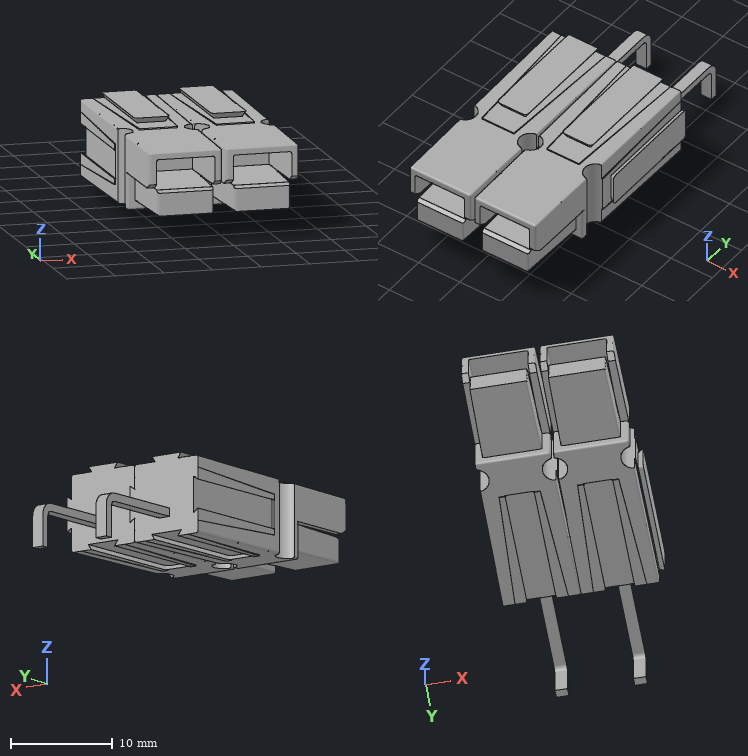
import cadquery as cq
import math


pitch = 7.9
front_width = 7.47
housing_length = 24.6
edge_radius = 0.25
rear_half = pitch / 2
draft_per_length = (pitch - front_width) / 2 / housing_length

mating_depth = 7.93
cavity_half = 3.0
cavity_draft = 0.1
cavity_corner_radius = 0.25
hood_chamfer_length = 0.85
hood_chamfer_height = 0.5
tongue_root_half = 3.0
tongue_tip_half = 2.85
tongue_root_depth = 2.9
tongue_tip_depth = 2.75
tongue_tip_top = -0.17
tongue_chamfer_length = 0.45
tongue_chamfer_height = 0.25
tongue_edge_radius = 0.2

notch_radius = 1.25
notch_y = 9.9

pad_rear_half = 2.7
pad_taper = 0.05
short_pad_front = 12.1
rail_front = 12.22
rail_height = 0.55
rail_half = 1.8
rail_base_half = 1.45
rail_corner_radius = 0.42
rail_undercut = rail_half - rail_base_half
rail_flank_angle = math.degrees(math.atan(rail_undercut / rail_height))

pin_width = 1.3
pin_thickness = 0.85
pin_offset = 0.25
pin_top = -1.0
pin_rear = 34.92
pin_bend_radius = 1.4
pin_drop = 1.65

TOP, RIGHT, BOTTOM, LEFT = 0, 90, 180, 270


def turned(shape, side):
    return shape.rotate((0, 0, 0), (0, 1, 0), side)


def box(x_range, y_range, z_range):
    (x0, x1), (y0, y1), (z0, z1) = x_range, y_range, z_range
    return cq.Workplane("XY").box(x1 - x0, y1 - y0, z1 - z0, centered=False).translate((x0, y0, z0))


def drafted_body():
    """Square body narrowing to the mating end, stepped below the hood, with rounded outer edges."""
    body = (
        cq.Workplane("XZ")
        .rect(front_width, front_width)
        .workplane(offset=-housing_length)
        .rect(pitch, pitch)
        .loft()
    )
    body = body.cut(box((-pitch, pitch), (-0.35, mating_depth), (-pitch, 0)))

    def is_rounded(edge):
        centre = edge.Center()
        on_rear_face = centre.y > housing_length - edge_radius
        wall = front_width / 2 + draft_per_length * centre.y
        on_top = centre.z > wall - edge_radius
        on_bottom = centre.z < edge_radius - wall
        on_side = abs(centre.x) > wall - edge_radius
        along_hood_rim = abs(centre.z) < edge_radius
        return not on_rear_face and not along_hood_rim and (on_top or on_bottom or on_side)

    rounded_edges = [edge for edge in body.edges().vals() if is_rounded(edge)]
    return body.newObject(rounded_edges).fillet(edge_radius)


def hood_cavity():
    """Drafted pocket that opens the hood at the front and at its lower rim."""
    inner_half = cavity_half - cavity_draft
    depth_below = 2 * cavity_half
    cavity = (
        cq.Workplane("XZ")
        .center(0, cavity_half - depth_below / 2)
        .rect(2 * cavity_half, depth_below)
        .workplane(offset=-mating_depth)
        .rect(2 * inner_half, depth_below)
        .loft()
        .edges(">Z and (not |X)")
        .fillet(cavity_corner_radius)
    )
    return cavity.intersect(box((-pitch, pitch), (0, mating_depth), (0, pitch)))


def hood_lead_in():
    """Wedge that bevels the lower front corners of the hood."""
    return (
        cq.Workplane("YZ")
        .polyline([(0, 0), (hood_chamfer_length, 0), (0, hood_chamfer_height)])
        .close()
        .extrude(rear_half, both=True)
    )


def tongue():
    """Tapered tongue under the hood, bevelled at its upper front edge."""
    tip_height = tongue_tip_depth + tongue_tip_top
    tip_centre = (tongue_tip_top - tongue_tip_depth) / 2
    root_centre = -tongue_root_depth / 2
    blade = (
        cq.Workplane("XZ")
        .center(0, tip_centre)
        .rect(2 * tongue_tip_half, tip_height)
        .workplane(offset=-mating_depth)
        .center(0, root_centre - tip_centre)
        .rect(2 * tongue_root_half, tongue_root_depth)
        .loft()
    )
    front_corners = cq.selectors.StringSyntaxSelector("<Y and (not |X)")
    lower_edges = cq.selectors.BoxSelector(
        (-pitch, tongue_edge_radius, -pitch),
        (pitch, mating_depth - tongue_edge_radius, root_centre),
    )
    blade = blade.edges(front_corners + lower_edges).fillet(tongue_edge_radius)
    bevel = (
        cq.Workplane("YZ")
        .polyline([
            (0, tongue_tip_top - tongue_chamfer_height),
            (tongue_chamfer_length, tongue_tip_top),
            (tongue_chamfer_length, 0),
            (0, 0),
        ])
        .close()
        .extrude(pitch, both=True)
    )
    return blade.cut(bevel)


def pad(front):
    """Tapered flat, level with the rear of the top face, from Y = front to the rear."""
    front_half = pad_rear_half - pad_taper * (housing_length - front)
    return (
        cq.Workplane("XY")
        .workplane(offset=rear_half - edge_radius)
        .polyline([
            (-pad_rear_half, housing_length),
            (pad_rear_half, housing_length),
            (front_half, front),
            (-front_half, front),
        ])
        .close()
        .extrude(edge_radius)
    )


def dovetail(front):
    """Dovetail bar standing on Z = 0, wide face up, from Y = front to the rear."""
    past_rear = housing_length + 2 * rail_undercut
    bar = (
        cq.Workplane("XY")
        .moveTo(-rail_half, past_rear)
        .lineTo(-rail_half, front + rail_corner_radius)
        .radiusArc((-rail_half + rail_corner_radius, front), -rail_corner_radius)
        .lineTo(rail_half - rail_corner_radius, front)
        .radiusArc((rail_half, front + rail_corner_radius), -rail_corner_radius)
        .lineTo(rail_half, past_rear)
        .close()
        .extrude(-rail_height, taper=rail_flank_angle)
        .translate((0, 0, rail_height))
    )
    return bar.intersect(box((-pitch, pitch), (0, housing_length), (0, rail_height)))


def make_housing():
    body = drafted_body().cut(hood_cavity()).cut(hood_lead_in()).union(tongue())

    pad_fronts = {TOP: notch_y, RIGHT: notch_y, BOTTOM: short_pad_front, LEFT: short_pad_front}
    for side, front in pad_fronts.items():
        body = body.union(turned(pad(front), side))

    for x in (-rear_half, rear_half):
        notch = cq.Workplane("XY").center(x, notch_y).circle(notch_radius).extrude(pitch, both=True)
        body = body.cut(notch)

    rail = dovetail(rail_front).translate((0, 0, rear_half))
    for side in (TOP, RIGHT):
        body = body.union(turned(rail, side))

    groove = dovetail(short_pad_front - rail_undercut).mirror("XY").translate((0, 0, rear_half))
    for side in (BOTTOM, LEFT):
        body = body.cut(turned(groove, side))
    return body


def make_pin():
    """Flat strip leaving the rear face and bent down; the profile lies in the YZ plane."""
    inner_radius = pin_bend_radius - pin_thickness
    pin_tip = -rear_half - pin_drop
    leg_front = pin_rear - pin_thickness
    strip_bottom = pin_top - pin_thickness
    return (
        cq.Workplane("YZ")
        .moveTo(housing_length, pin_top)
        .lineTo(pin_rear - pin_bend_radius, pin_top)
        .radiusArc((pin_rear, pin_top - pin_bend_radius), pin_bend_radius)
        .lineTo(pin_rear, pin_tip)
        .lineTo(leg_front, pin_tip)
        .lineTo(leg_front, strip_bottom - inner_radius)
        .radiusArc((leg_front - inner_radius, strip_bottom), -inner_radius)
        .lineTo(housing_length, strip_bottom)
        .close()
        .extrude(pin_width / 2, both=True)
        .translate((pin_offset, 0, 0))
    )


bodies = []
for position in range(2):
    shift = (position * pitch, 0, 0)
    bodies.append(make_housing().translate(shift).val())
    bodies.append(make_pin().translate(shift).val())

result = cq.Compound.makeCompound(bodies)